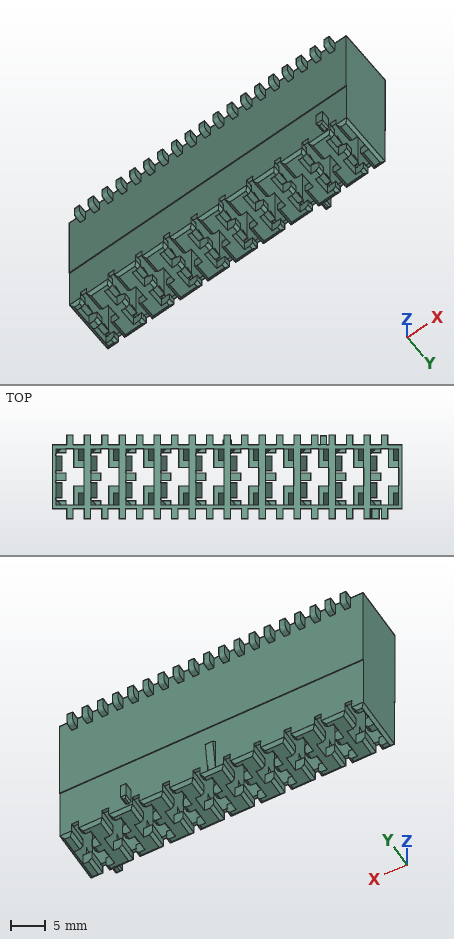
import cadquery as cq
import math

cell_count = 10
length = 50.0
cell_pitch = length / cell_count
height = 25.0
upper_depth = 9.2
lower_depth = 9.0
step_height = 10.0
end_wall = 0.5
side_wall = 0.6
bottom_chamfer = 0.5

cell_left = end_wall
cell_right = cell_pitch - end_wall
cell_half_depth = upper_depth / 2 - side_wall

slot_width = 1.1
floor_height = 2.0
slot_left = (cell_pitch - slot_width) / 2
slot_right = (cell_pitch + slot_width) / 2

right_opening_half = 1.3
left_opening_inner = 0.55
left_opening_outer = 3.4

ramp_angle = 75.0
left_ramp_width = 0.9
left_ramp_inner = 0.85
left_ramp_outer = 3.0
right_ramp_width = 0.75
right_ramp_inner = 2.3
rib_angle = 25.0
gusset_leg = 0.75
gusset_height = 2.3

peg_pitch = cell_pitch / 2
peg_count = 2 * cell_count - 1
overall_depth = 12.0
peg_width = 0.95
peg_height = 2.1
peg_radius = 0.6

front_key_x = 21.2
front_key_width = 1.1
rear_key_x = 13.75
rear_key_width = 0.9
rear_key_reach = 5.9
key_bottom = 0.95
key_top = 3.8
key_chamfer = 0.3
catch_width = 1.25
catch_reach = 5.25
catch_top = 6.3
catch_peak = 5.6


def box(x_range, y_range, z_range):
    """Axis-aligned block between pairs of limits."""
    size = [high - low for low, high in (x_range, y_range, z_range)]
    corner = (x_range[0], y_range[0], z_range[0])
    return cq.Workplane().box(*size, centered=False).translate(corner)


def prism_along_y(points, y_low, y_high):
    """XZ outline extended from y_low to y_high."""
    plane = cq.Workplane("XZ", origin=(0, y_high, 0))
    return plane.polyline(points).close().extrude(y_high - y_low)


def prism_along_x(points, x_centre, width):
    """YZ outline extended symmetrically about x_centre."""
    plane = cq.Workplane("YZ", origin=(x_centre, 0, 0))
    return plane.polyline(points).close().extrude(width / 2, both=True)


def both_sides(shape):
    """The shape together with its mirror image across the XZ plane."""
    return shape.union(shape.mirror("XZ"))


def shell():
    """Stepped outer block with its bottom edges chamfered."""
    lower = cq.Workplane().box(length, lower_depth, step_height, centered=(True, True, False))
    lower = lower.faces("<Z").edges().chamfer(bottom_chamfer)
    upper = cq.Workplane("XY", origin=(0, 0, step_height)).rect(length, upper_depth)
    return lower.union(upper.extrude(height - step_height))


def cell_cavity():
    """Space removed for one cell: the well, the bottom slot and the floor openings."""
    well = box((cell_left, cell_right), (-cell_half_depth, cell_half_depth), (floor_height, height))
    slot_outline = [
        (slot_left - bottom_chamfer, 0),
        (slot_left, bottom_chamfer),
        (slot_left, floor_height),
        (slot_right, floor_height),
        (slot_right, bottom_chamfer),
        (slot_right + bottom_chamfer, 0),
    ]
    slot = prism_along_y(slot_outline, -upper_depth / 2, upper_depth / 2)
    floor_range = (0, floor_height)
    right_opening = box(
        (slot_right, cell_right), (-right_opening_half, right_opening_half), floor_range
    )
    left_opening = box(
        (cell_left, slot_left), (left_opening_inner, left_opening_outer), floor_range
    )
    return well.union(slot).union(right_opening).union(both_sides(left_opening))


def ramp(wall_x, toe_x, angle, y_low, y_high):
    """Wedge on a cell wall that slopes down to a toe at floor level."""
    rise = abs(toe_x - wall_x) * math.tan(math.radians(angle))
    outline = [
        (wall_x, floor_height),
        (toe_x, floor_height),
        (wall_x, floor_height + rise),
    ]
    return prism_along_y(outline, y_low, y_high)


def corner_gusset():
    """Three-sided pyramid in the rear left corner of a cell floor."""
    corner = (cell_left, cell_half_depth, floor_height)
    base = [(0, 0), (gusset_leg, 0), (0, -gusset_leg)]
    block = cq.Workplane("XY").polyline(base).close().extrude(gusset_height)
    normal = (1 / gusset_leg, -1 / gusset_leg, 1 / gusset_height)
    sloping_plane = cq.Plane(origin=(gusset_leg, 0, 0), xDir=(1, 1, 0), normal=normal)
    cut_size = 4 * gusset_height
    above = cq.Workplane(sloping_plane).rect(cut_size, cut_size).extrude(cut_size)
    return block.cut(above).translate(corner)


def cell_details():
    """Rib, ramps and corner gussets standing inside one cell."""
    rib = ramp(cell_left, slot_left, rib_angle, -left_opening_inner, left_opening_inner)
    left_ramp = ramp(
        cell_left, cell_left + left_ramp_width, ramp_angle, left_ramp_inner, left_ramp_outer
    )
    right_ramp = ramp(
        cell_right, cell_right - right_ramp_width, ramp_angle, right_ramp_inner, cell_half_depth
    )
    ramps = both_sides(left_ramp.union(right_ramp))
    return ramps.union(rib).union(both_sides(corner_gusset()))


def peg():
    """Rim peg on the front side, with its lower outer edge rounded."""
    block = box(
        (-peg_width / 2, peg_width / 2),
        (-overall_depth / 2, -cell_half_depth),
        (height - peg_height, height),
    )
    return block.edges("|X and <Z and <Y").fillet(peg_radius)


def key(x_centre, width, reach):
    """Block on the front side, with its bottom edges chamfered."""
    block = box(
        (x_centre - width / 2, x_centre + width / 2),
        (-reach, -cell_half_depth),
        (key_bottom, key_top),
    )
    return block.faces("<Z").edges("<Y or <X or >X").chamfer(key_chamfer)


def catch():
    """Wedge-shaped catch in the middle of the rear side."""
    rear_face = lower_depth / 2
    outline = [
        (rear_face, bottom_chamfer),
        (catch_reach, catch_peak),
        (rear_face, catch_top),
    ]
    return prism_along_x(outline, 0, catch_width)


cell_offsets = [(index * cell_pitch - length / 2, 0, 0) for index in range(cell_count)]
peg_offsets = [((index + 1) * peg_pitch - length / 2, 0, 0) for index in range(peg_count)]

cavity = cell_cavity()
details = cell_details()
peg_pair = both_sides(peg())

cavities = [cavity.translate(offset).val() for offset in cell_offsets]
additions = [details.translate(offset).val() for offset in cell_offsets]
additions += [peg_pair.translate(offset).val() for offset in peg_offsets]
additions += [
    key(front_key_x, front_key_width, overall_depth / 2).val(),
    key(rear_key_x, rear_key_width, rear_key_reach).mirror("XZ").val(),
    catch().val(),
]

result = cq.Workplane(shell().val().cut(*cavities).fuse(*additions).clean())